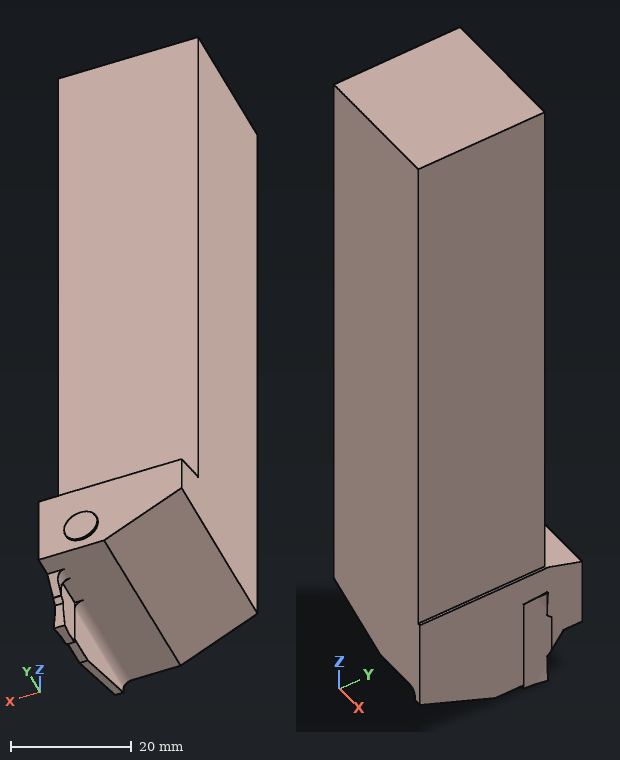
import cadquery as cq


total_length = 127.0
shank_width = 25.1
shank_depth = 25.3
shank_bottom = 25.1

head_back = 32.4
left_lean = 0.1
head_side = 25.7
ledge_back = 25.7
heel_top = 23.0
head_bottom = 9.5
bevel_top = 16.3
bevel_end = 13.8

blade_width = 1.5
blade_left = head_side - blade_width
blade_fillet = 1.5
blade_front_bottom = 7.2
blade_bottom = 1.1
blade_slope_end = 15.1
jaw_back = 28.7
jaw_tip = 6.2

insert_length = 19.7
insert_seat = 20.7
insert_back = 26.3
cutting_face = 25.4
end_relief = 0.4
rake_length = 5.2
rake_ramp_end = 6.1
edge_flare = 0.3
flare_length = 3.5
flare_depth = 2.3

total_depth = 32.8
boss_diameter = 6.0
boss_x = 17.9
boss_z = 14.2


def prism_along_x(points, left, right):
    """Extrude a (Y, Z) outline between two X positions."""
    return cq.Workplane("YZ").workplane(offset=left).polyline(points).close().extrude(right - left)


def block_with_leaning_side(right, back, bottom, top):
    """Upright block whose left side leans out evenly from the front to the back."""
    left_at_back = -left_lean * back / head_back
    plan = [(0, 0), (right, 0), (right, back), (left_at_back, back)]
    return cq.Workplane("XY").workplane(offset=bottom).polyline(plan).close().extrude(top - bottom)


def make_shank():
    return block_with_leaning_side(shank_width, shank_depth, shank_bottom, total_length)


def make_head():
    head = block_with_leaning_side(head_side, head_back, 0, shank_bottom)

    side = [
        (0, shank_bottom),
        (ledge_back, shank_bottom),
        (head_back, heel_top),
        (head_back, head_bottom),
        (jaw_back, head_bottom),
        (insert_back, jaw_tip),
        (insert_seat, jaw_tip),
        (insert_seat, blade_bottom),
        (blade_slope_end, blade_bottom),
        (0, blade_front_bottom),
    ]
    head = head.intersect(prism_along_x(side, -left_lean, head_side))
    return head.cut(make_blade_clearance()).cut(make_fillet_gap())


def make_blade_clearance():
    """Space beside the blade: the bevel, the flat underside and the fillet into the blade."""
    bevel_slope = (bevel_top - head_bottom) / bevel_end
    outer_left = -2 * left_lean
    outer_top = bevel_top - bevel_slope * outer_left
    return (
        cq.Workplane("XZ")
        .moveTo(outer_left, 0)
        .lineTo(outer_left, outer_top)
        .lineTo(bevel_end, head_bottom)
        .lineTo(blade_left - blade_fillet, head_bottom)
        .radiusArc((blade_left, head_bottom - blade_fillet), blade_fillet)
        .lineTo(blade_left, 0)
        .close()
        .extrude(-head_back)
    )


def make_fillet_gap():
    """Gap in the blade fillet that leaves the side of the insert clear up to the underside."""
    return (
        cq.Workplane("XY", origin=(blade_left - blade_fillet, insert_seat, head_bottom - blade_fillet))
        .rect(blade_fillet, insert_back - insert_seat, centered=False)
        .extrude(blade_fillet)
    )


def make_boss():
    return (
        cq.Workplane("XZ", origin=(boss_x, head_back, boss_z))
        .circle(boss_diameter / 2)
        .extrude(head_back - total_depth)
    )


def make_edge_flare(side_x, direction):
    """Three-sided wedge that widens the lower cutting edge; direction is -1 for left, 1 for right."""
    edge_corner = cq.Vector(side_x, cutting_face, 0)
    outer_tip = cq.Vector(side_x + direction * edge_flare, cutting_face, 0)
    face_end = cq.Vector(side_x, cutting_face, flare_length)
    relief_end_z = end_relief * flare_depth / (cutting_face - insert_seat)
    relief_end = cq.Vector(side_x, cutting_face - flare_depth, relief_end_z)
    triangles = [
        (edge_corner, outer_tip, face_end),
        (edge_corner, outer_tip, relief_end),
        (edge_corner, face_end, relief_end),
        (outer_tip, face_end, relief_end),
    ]
    faces = [cq.Face.makeFromWires(cq.Wire.makePolygon(corners, close=True)) for corners in triangles]
    return cq.Workplane(cq.Solid.makeSolid(cq.Shell.makeShell(faces)))


def make_insert():
    middle = insert_length / 2
    lower_half = [
        (insert_seat, middle),
        (insert_seat, end_relief),
        (cutting_face, 0),
        (cutting_face, rake_length),
        (insert_back, rake_ramp_end),
        (insert_back, middle),
    ]
    half = prism_along_x(lower_half, blade_left, head_side)
    for side_x, direction in ((blade_left, -1), (head_side, 1)):
        half = half.union(make_edge_flare(side_x, direction))
    other_half = half.mirror("XY", (0, 0, middle))
    return half.union(other_half)


def make_holder(insert):
    holder = make_shank().union(make_head()).union(make_boss())
    return holder.cut(insert)


insert = make_insert()
holder = make_holder(insert)

result = cq.Compound.makeCompound([holder.solids().val(), insert.solids().val()])